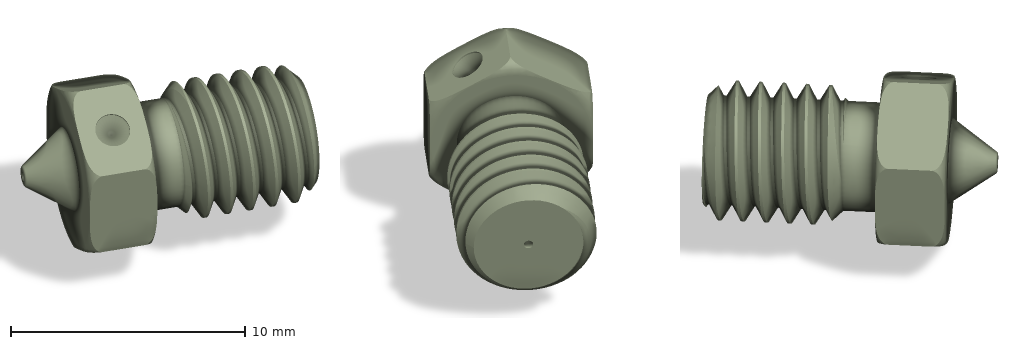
import cadquery as cq
import math

total_length = 12.5
tip_length = 2.0
hex_length = 3.0
neck_length = 1.5
hex_end = tip_length + hex_length
thread_start = hex_end + neck_length

across_flats = 7.0
corner_radius = across_flats / math.sqrt(3)
corner_rounding = 0.59
flats_to_sides = 30.0

tip_radius = 0.44
tip_half_angle = math.radians(35)
tip_base_radius = tip_radius + tip_length * math.tan(tip_half_angle)
tip_fillet = 0.14
bore_diameter = 0.4

major_radius = 3.0
pitch = 1.0
thread_depth = 0.65
root_radius = major_radius - thread_depth
crest_width = pitch / 8
flank_angle = math.radians(30)
flank_slope = math.tan(flank_angle)
crest_on_x_side = 11.42
root_overlap = 0.04
lead_in_clearance = 0.25
turns_before_crest = 6
thread_turns = 8

mark_radius = 0.75
mark_wall_depth = 0.08
drill_half_angle = math.radians(59)
mark_cone_depth = mark_radius / math.tan(drill_half_angle)
drill_clearance = 0.12
mark_tilt = 30.0


def revolve_about_y(points):
    """Revolve a closed (radius, y) outline about the Y axis."""
    return cq.Workplane("XY").polyline(points).close().revolve(360, (0, 0), (0, 1))


def along_y(radius, start, end):
    """Cylinder on the Y axis between two Y positions."""
    return revolve_about_y([(0, start), (radius, start), (radius, end), (0, end)])


def make_tip():
    cone = revolve_about_y(
        [(0, 0), (tip_radius, 0), (tip_base_radius, tip_length), (0, tip_length)]
    )
    return cone.faces("<Y").edges().fillet(tip_fillet)


def make_head():
    prism = (
        cq.Workplane("XZ", origin=(0, hex_end, 0))
        .polygon(6, 2 * corner_radius)
        .extrude(hex_length)
        .rotate((0, 0, 0), (0, 1, 0), flats_to_sides)
    )
    rounded = along_y(corner_radius, tip_length, hex_end)
    rounded = rounded.faces("<Y or >Y").edges().fillet(corner_rounding)
    return prism.intersect(rounded)


def make_thread():
    """Helical ridge, trimmed to 45 degree lead-ins at both ends."""
    base_radius = root_radius - root_overlap
    half_crest = crest_width / 2
    half_base = half_crest + (major_radius - base_radius) * flank_slope
    helix = cq.Wire.makeHelix(pitch, pitch * thread_turns, root_radius)
    ridge = (
        cq.Workplane("XZ")
        .polyline(
            [
                (base_radius, -half_base),
                (major_radius, -half_crest),
                (major_radius, half_crest),
                (base_radius, half_base),
            ]
        )
        .close()
        .sweep(cq.Workplane(helix), isFrenet=True)
        .rotate((0, 0, 0), (1, 0, 0), -90)
        .translate((0, crest_on_x_side - turns_before_crest * pitch, 0))
    )
    lead_in = thread_depth + lead_in_clearance
    envelope = revolve_about_y(
        [
            (0, thread_start),
            (root_radius, thread_start),
            (root_radius + lead_in, thread_start + lead_in),
            (root_radius + lead_in, total_length - lead_in),
            (root_radius, total_length),
            (0, total_length),
        ]
    )
    return ridge.intersect(envelope)


def make_mark():
    """Drill-point recess centred on the flat facing +X and +Z."""
    surface = across_flats / 2
    floor = surface - mark_wall_depth
    drill = (
        cq.Workplane("XZ")
        .polyline(
            [
                (0, surface + drill_clearance),
                (mark_radius, surface + drill_clearance),
                (mark_radius, floor),
                (0, floor - mark_cone_depth),
            ]
        )
        .close()
        .revolve(360, (0, 0), (0, 1))
    )
    mid_head = tip_length + hex_length / 2
    return drill.rotate((0, 0, 0), (0, 1, 0), mark_tilt).translate((0, mid_head, 0))


shank = along_y(root_radius, tip_length, total_length)
result = make_head().union(make_tip()).union(shank).union(make_thread())
result = result.cut(make_mark()).cut(along_y(bore_diameter / 2, 0, total_length))